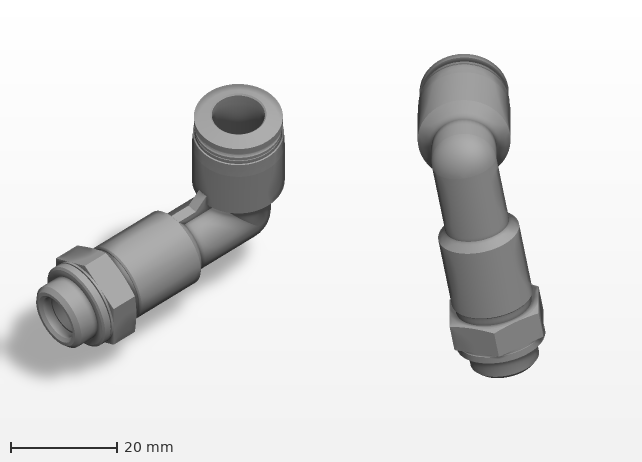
import cadquery as cq
import math


overall_length = 53.45

pipe_radius = 12.25 / 2
bore_radius = 8.0 / 2

socket_radius = 17.5 / 2
socket_taper_start = 7.9
socket_cone_start = socket_taper_start - (socket_radius - pipe_radius)
cap_seam_height = 18.0
cap_top_height = 21.05
cap_top_radius = 17.15 / 2
collar_radius = 16.5 / 2
collar_top_height = 23.05
collar_chamfer = 0.3
collar_groove_height = 21.85
collar_groove_width = 0.15
collar_groove_depth = 0.15

button_neck_radius = 11.5 / 2
button_radius = 16.8 / 2
button_bottom_height = 23.95
button_rim_height = 25.3
button_top_height = 26.0
tube_radius = 10.0 / 2
tube_lip_radius = 10.6 / 2
tube_lip_depth = 0.25
tube_stop_height = 8.0

barrel_radius = 15.5 / 2
barrel_cone_start = 14.0
barrel_start = barrel_cone_start + barrel_radius - pipe_radius
barrel_end = 30.4
barrel_chamfer = 0.3
barrel_neck_radius = 14.5 / 2

hex_flats = 17.0
hex_corner_radius = hex_flats / math.sqrt(3)
hex_start = 32.0
hex_end = 37.6
hex_chamfer_radius = hex_flats / 2
hex_chamfer_angle = 15

ring_radius = 17.0 / 2
ring_relief_radius = 16.0 / 2
shoulder_end = 38.0
ring_start = 38.25
ring_end = 39.95
ring_chamfer = 0.25
spigot_radius = 13.15 / 2
spigot_chamfer = 0.85
spigot_end = overall_length - socket_radius
mouth_radius = 10.0 / 2
counterbore_radius = 8.75 / 2
mouth_depth = mouth_radius - counterbore_radius
counterbore_depth = 2.5

rib_width = 2.15
rib_height = 7.6
rib_slope_reach = 11.3


def turned_upright(points):
    """Revolve (radius, height) points around Z."""
    return cq.Workplane("XZ").polyline(points).close().revolve(360, (0, 0), (0, 1))


def turned_along_stem(points):
    """Revolve (radius, reach) points around Z and lay the body down along -Y."""
    return turned_upright(points).rotate((0, 0, 0), (1, 0, 0), 90)


def make_socket():
    groove_top = collar_groove_height + collar_groove_width
    groove_radius = collar_radius - collar_groove_depth
    return turned_upright([
        (0, 0),
        (pipe_radius, 0),
        (pipe_radius, socket_cone_start),
        (socket_radius, socket_taper_start),
        (socket_radius, cap_seam_height),
        (cap_top_radius, cap_top_height),
        (collar_radius, cap_top_height),
        (collar_radius, collar_groove_height),
        (groove_radius, collar_groove_height),
        (groove_radius, groove_top),
        (collar_radius, groove_top),
        (collar_radius, collar_top_height - collar_chamfer),
        (collar_radius - collar_chamfer, collar_top_height),
        (button_neck_radius, collar_top_height),
        (button_neck_radius, button_bottom_height),
        (button_radius, button_bottom_height),
        (button_radius, button_rim_height),
        (tube_lip_radius, button_top_height),
        (0, button_top_height),
    ])


def make_stem():
    return turned_along_stem([
        (0, 0),
        (pipe_radius, 0),
        (pipe_radius, barrel_cone_start),
        (barrel_radius, barrel_start),
        (barrel_radius, barrel_end - barrel_chamfer),
        (barrel_radius - barrel_chamfer, barrel_end),
        (barrel_neck_radius, barrel_end),
        (barrel_neck_radius, hex_end),
        (ring_radius, hex_end),
        (ring_radius, shoulder_end),
        (ring_relief_radius, shoulder_end),
        (ring_relief_radius, ring_start),
        (ring_radius, ring_start),
        (ring_radius, ring_end - ring_chamfer),
        (ring_relief_radius, ring_end),
        (spigot_radius, ring_end),
        (spigot_radius, spigot_end - spigot_chamfer),
        (spigot_radius - spigot_chamfer, spigot_end),
        (0, spigot_end),
    ])


def make_hexagon():
    """Hexagon with corners up and down, its corners chamfered on the barrel side."""
    corners = []
    for i in range(6):
        angle = math.radians(60 * i)
        corners.append((hex_corner_radius * math.sin(angle), hex_corner_radius * math.cos(angle)))
    prism = (
        cq.Workplane("XZ", origin=(0, -hex_start, 0))
        .polyline(corners)
        .close()
        .extrude(hex_end - hex_start)
    )
    chamfer_length = (hex_corner_radius - hex_chamfer_radius) * math.tan(math.radians(hex_chamfer_angle))
    envelope = turned_along_stem([
        (0, hex_start),
        (hex_chamfer_radius, hex_start),
        (hex_corner_radius, hex_start + chamfer_length),
        (hex_corner_radius, hex_end),
        (0, hex_end),
    ])
    return prism.intersect(envelope)


def make_rib():
    """Rib that rises at 45 degrees to the wall of the socket."""
    wall_height = rib_height + rib_slope_reach - socket_radius
    return (
        cq.Workplane("YZ")
        .polyline([
            (0, 0),
            (-barrel_start, 0),
            (-barrel_start, rib_height),
            (-rib_slope_reach, rib_height),
            (-socket_radius, wall_height),
            (0, wall_height),
        ])
        .close()
        .extrude(rib_width / 2, both=True)
    )


def make_passage():
    """Both bores, meeting in a ball at the corner."""
    tube_bore = turned_upright([
        (0, 0),
        (bore_radius, 0),
        (bore_radius, tube_stop_height),
        (tube_radius, tube_stop_height),
        (tube_radius, button_top_height - tube_lip_depth),
        (tube_lip_radius, button_top_height),
        (0, button_top_height),
    ])
    stem_bore = turned_along_stem([
        (0, 0),
        (bore_radius, 0),
        (bore_radius, spigot_end - counterbore_depth),
        (counterbore_radius, spigot_end - counterbore_depth),
        (counterbore_radius, spigot_end - mouth_depth),
        (mouth_radius, spigot_end),
        (0, spigot_end),
    ])
    return tube_bore.union(stem_bore).union(cq.Workplane("XY").sphere(bore_radius))


elbow = make_socket().union(make_stem()).union(cq.Workplane("XY").sphere(pipe_radius))
result = elbow.union(make_hexagon()).union(make_rib()).cut(make_passage())